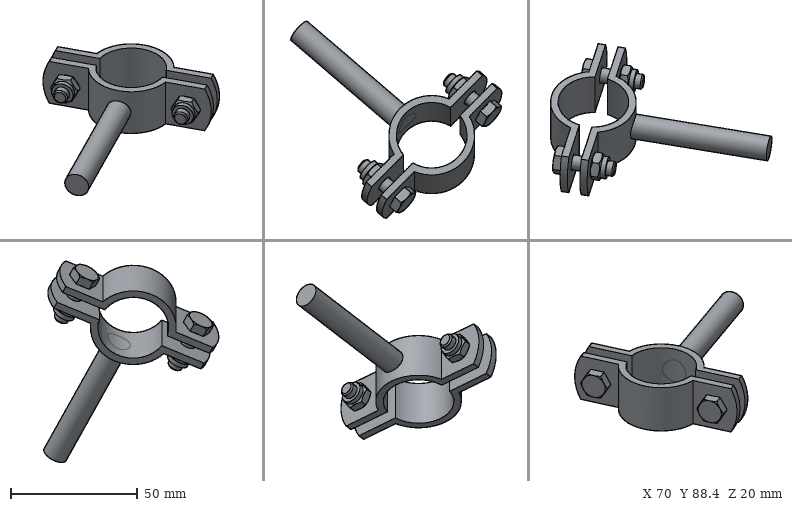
import cadquery as cq
import math

width = 20.0
bore_radius = 14.0
wall = 3.0
ring_radius = bore_radius + wall
ear_gap = 5.0
ear_inner = ear_gap / 2
ear_outer = ear_inner + wall
ear_span = 70.0
ear_end_radius = 20.0
bolt_hole_diameter = 6.5

overall_length = 88.4
rod_diameter = 10.0
rod_end_y = ring_radius - overall_length

bolt_x = 25.0
hex_flats = 10.0
hex_corners = hex_flats / math.cos(math.radians(30))
chamfer_angle = 30.0
bolt_diameter = 6.0
bolt_head_height = 4.2
washer_face_height = 0.2
washer_face_diameter = 8.7
head_chamfer_diameter = 10.0
bolt_end_reach = 9.0
bolt_tip_chamfer = 0.6
nut_hex_height = 4.0
nut_seat_diameter = 9.5
nut_collar_diameter = 8.9
nut_height = 5.9
left_head_turn = -1.0
left_nut_turn = 2.5


def cylinder_y(x, y_start, y_end, diameter):
    """Cylinder along Y, centred at (x, z = 0)."""
    plane = cq.Workplane("XZ", origin=(x, y_end, 0))
    return plane.circle(diameter / 2).extrude(y_end - y_start)


def hexagon_y(x, y_start, y_end, turn):
    """Hexagonal prism along Y, turned about its axis from corners on X."""
    prism = cq.Workplane("XZ").polygon(6, hex_corners).extrude(y_end - y_start)
    return prism.rotate((0, 0, 0), (0, -1, 0), turn).translate((x, y_end, 0))


def corner_chamfer_cone(x, y_face, direction, face_diameter, height):
    """Cone widening from an end face; intersecting it chamfers hexagon corners."""
    face_radius = face_diameter / 2
    base_radius = face_radius + height / math.tan(math.radians(chamfer_angle))
    cone = cq.Solid.makeCone(
        face_radius, base_radius, height, cq.Vector(x, y_face, 0), cq.Vector(0, direction, 0)
    )
    return cq.Workplane(obj=cone)


def ear_outline():
    """Solid along Y whose outline is a bar with rounded ends; it bounds both halves."""
    half_width = width / 2
    tip_x = ear_span / 2
    sagitta = ear_end_radius - math.sqrt(ear_end_radius**2 - half_width**2)
    corner_x = tip_x - sagitta
    return (
        cq.Workplane("XZ")
        .moveTo(-corner_x, half_width)
        .lineTo(corner_x, half_width)
        .threePointArc((tip_x, 0), (corner_x, -half_width))
        .lineTo(-corner_x, -half_width)
        .threePointArc((-tip_x, 0), (-corner_x, half_width))
        .close()
        .extrude(ring_radius, both=True)
    )


def make_clamp_half(side):
    """Half ring with two drilled ears; side is +1 for the +Y half, -1 for the -Y half."""
    half_space = cq.Workplane("XY").box(ear_span, ring_radius, width)
    half_space = half_space.translate((0, side * (ear_inner + ring_radius / 2), 0))
    ring = cq.Workplane("XY").circle(ring_radius).extrude(width / 2, both=True)
    ears = cq.Workplane("XY").box(ear_span, 2 * ear_outer, width)
    bore = cq.Workplane("XY").circle(bore_radius).extrude(width / 2, both=True)
    half = ring.union(ears).cut(bore).intersect(half_space).intersect(ear_outline())
    for x in (-bolt_x, bolt_x):
        half = half.cut(cylinder_y(x, -ear_outer, ear_outer, bolt_hole_diameter))
    return half


def make_lower_clamp():
    """The -Y half with its rod, trimmed to the ring so the bore stays clear."""
    bore = cq.Workplane("XY").circle(bore_radius).extrude(width / 2, both=True)
    rod = cylinder_y(0, rod_end_y, -ear_outer, rod_diameter).cut(bore)
    return make_clamp_half(-1).union(rod)


def make_bolt(x, turn):
    """Hexagon bolt with its head on the +Y ear and its end past the nut."""
    head_top = ear_outer + bolt_head_height
    head_seat = ear_outer + washer_face_height
    head = hexagon_y(x, head_seat, head_top, turn).intersect(
        corner_chamfer_cone(x, head_top, -1, head_chamfer_diameter, bolt_head_height)
    )
    shank = cylinder_y(x, -ear_outer - bolt_end_reach, head_seat, bolt_diameter)
    washer_face = cylinder_y(x, ear_outer, head_seat, washer_face_diameter)
    return head.union(washer_face).union(shank.faces("<Y").chamfer(bolt_tip_chamfer))


def make_nut(x, turn):
    """Hexagon nut on the -Y ear with a round collar on its outer end."""
    hex_end = -ear_outer - nut_hex_height
    collar_end = -ear_outer - nut_height
    hexagon = hexagon_y(x, hex_end, -ear_outer, turn)
    ends = ((hex_end, 1, nut_collar_diameter), (-ear_outer, -1, nut_seat_diameter))
    for y_face, direction, face_diameter in ends:
        hexagon = hexagon.intersect(
            corner_chamfer_cone(x, y_face, direction, face_diameter, nut_hex_height)
        )
    collar = cylinder_y(x, collar_end, hex_end, nut_collar_diameter)
    return hexagon.union(collar).cut(cylinder_y(x, collar_end, -ear_outer, bolt_diameter))


upper_clamp = make_clamp_half(1)
lower_clamp = make_lower_clamp()

bolts = []
nuts = []
for x, head_turn, nut_turn in ((-bolt_x, left_head_turn, left_nut_turn), (bolt_x, 0, 0)):
    bolts.append(make_bolt(x, head_turn).val())
    nuts.append(make_nut(x, nut_turn).val())

result = cq.Compound.makeCompound([upper_clamp.val(), lower_clamp.val(), *bolts, *nuts])